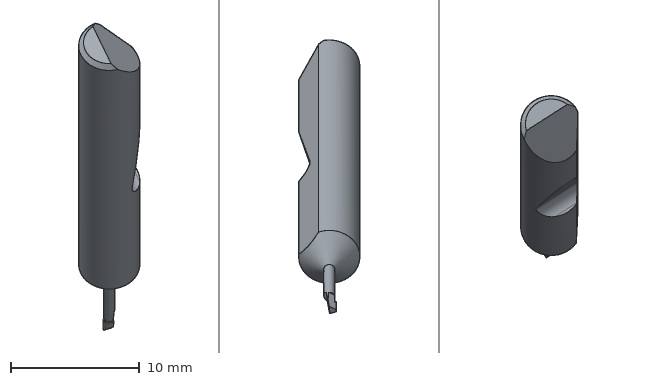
import cadquery as cq
import math

length = 38.1
shank_radius = 2.38
top_chamfer = 0.4
neck_radius = 0.44
cone_bottom = 6.4
cone_top = cone_bottom + shank_radius - neck_radius

flat_distance = 2.02
flat_angle = 143.5

end_slope_start_y = -0.6

notch_bottom = 19.62
notch_top = 28.25
notch_slope = 10
notch_corner_radius = 1.05

head_radius = 0.552
head_height = 1.22
head_flat_distance = 0.362
head_flat_top = 2.15
head_flat_angle = 225
head_corner_width = 0.35
head_corner_height = 0.57

rake_tip_y = -0.05
rake_top_y = 0.2
rake_top = 2.2
rake_turn = 12

clearance = 2 * shank_radius


def flat_cutter(distance, angle, bottom, top):
    """Material beyond a vertical plane whose outward normal points at angle."""
    block = cq.Workplane("XY").box(clearance, 2 * clearance, top - bottom, centered=(False, True, False))
    return block.translate((distance, 0, bottom)).rotate((0, 0, 0), (0, 0, 1), angle)


def side_cutter(points):
    """Profile of (Y, Z) points extruded through the part along X."""
    return cq.Workplane("YZ").polyline(points).close().extrude(clearance, both=True)


def make_shank():
    profile = [
        (0, cone_bottom),
        (neck_radius, cone_bottom),
        (shank_radius, cone_top),
        (shank_radius, length - top_chamfer),
        (shank_radius - top_chamfer, length),
        (0, length),
    ]
    shank = cq.Workplane("XZ").polyline(profile).close().revolve(360, (0, 0), (0, 1))
    shank = shank.cut(flat_cutter(flat_distance, flat_angle, 0, length))

    end_drop = clearance - end_slope_start_y
    end_slope = [(end_slope_start_y, length), (clearance, length), (clearance, length - end_drop)]
    shank = shank.cut(side_cutter(end_slope))
    return shank.cut(make_notch())


def make_notch():
    depth = (notch_top - notch_bottom) * math.tan(math.radians(notch_slope))
    inner_corner = (shank_radius - depth, notch_bottom)
    profile = [
        inner_corner,
        (clearance, notch_bottom),
        (clearance, notch_top),
        (shank_radius, notch_top),
    ]
    return side_cutter(profile).edges("|X and <Y").fillet(notch_corner_radius)


def make_neck_and_head():
    neck = cq.Workplane("XY").circle(neck_radius).extrude(cone_bottom)
    head = cq.Workplane("XY").circle(head_radius).extrude(head_height)
    tool = neck.union(head)
    tool = tool.cut(flat_cutter(head_flat_distance, head_flat_angle, 0, head_flat_top))

    rake_profile = [
        (rake_tip_y, 0),
        (rake_top_y, rake_top),
        (rake_top_y + neck_radius, rake_top + neck_radius),
        (clearance, rake_top + neck_radius),
        (clearance, 0),
    ]
    rake = side_cutter(rake_profile).rotate((0, 0, 0), (0, 0, 1), rake_turn)

    corner_profile = [
        (head_radius - head_corner_width, 0),
        (head_radius, 0),
        (head_radius, head_corner_height),
    ]
    corner = cq.Workplane("XZ").polyline(corner_profile).close().extrude(clearance, both=True)
    return tool.cut(rake).cut(corner)


result = make_shank().union(make_neck_and_head())